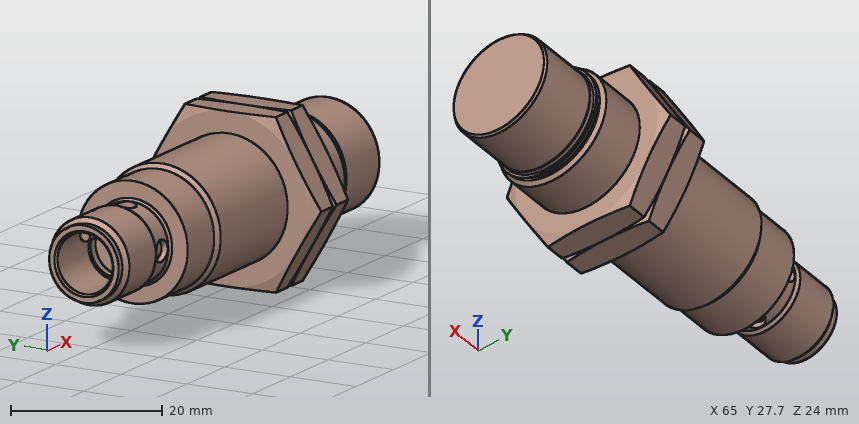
import cadquery as cq
import math

length = 65.0

tip_diameter = 10.6
connector_diameter = 12.0
neck_diameter = 11.3
shoulder_diameter = 16.8
body_diameter = 18.0
body_end_diameter = 16.8
ring_diameter = 16.9
relief_diameter = 16.0
cap_diameter = 15.8
cap_end_diameter = 15.3

tip_end = 1.0
connector_start = 1.6
connector_end = 8.65
neck_start = 9.2
neck_end = 12.55
shoulder_start = 12.95
shoulder_end = 19.95
body_start = 20.6
body_end = 53.5
groove_x = 54.1
ring_x = 54.9
cap_start = 55.65
cap_end = 64.6

bore_diameter = 8.4
bore_mouth_diameter = 9.0
bore_mouth_depth = 0.3
bore_step = 8.45
inner_bore_diameter = 7.7
bore_depth = 9.75
key_diameter = 1.5
key_setback = 0.3
key_inset = 0.45
key_offset = bore_diameter / 2 - key_inset

window_diameter = 3.05
window_floor_diameter = 9.4
window_count = 4
window_x = (neck_start + neck_end) / 2

nut_flats = 24.0
nut_corners = nut_flats / math.cos(math.radians(30))
nut_thickness = 4.0
nut_count = 2
nuts_start = 38.35
nut_chamfer_angle = 15.0


def x_cylinder(diameter, start, end):
    """Cylinder on the X axis between two stations."""
    return cq.Workplane("YZ", origin=(start, 0, 0)).circle(diameter / 2).extrude(end - start)


def revolve_profile(points):
    """Closed (x, radius) outline turned about the X axis."""
    return cq.Workplane("XY").polyline(points).close().revolve(360, (0, 0, 0), (1, 0, 0))


def make_housing_blank():
    stations = [
        (0, tip_diameter),
        (tip_end, tip_diameter),
        (connector_start, connector_diameter),
        (connector_end, connector_diameter),
        (neck_start, neck_diameter),
        (neck_end, neck_diameter),
        (shoulder_start, connector_diameter),
        (shoulder_start, shoulder_diameter),
        (shoulder_end, shoulder_diameter),
        (body_start, body_diameter),
        (body_end, body_diameter),
        (groove_x, body_end_diameter),
        (groove_x, relief_diameter),
        (ring_x, ring_diameter),
        (ring_x, relief_diameter),
        (cap_start, relief_diameter),
        (cap_start, cap_diameter),
        (cap_end, cap_diameter),
        (length, cap_end_diameter),
    ]
    outline = [(x, diameter / 2) for x, diameter in stations]
    return revolve_profile([(0, 0)] + outline + [(length, 0)])


def make_socket():
    """Stepped bore with a countersunk mouth and a round key left standing along its top."""
    bore = revolve_profile([
        (0, 0),
        (0, bore_mouth_diameter / 2),
        (bore_mouth_depth, bore_diameter / 2),
        (bore_step, bore_diameter / 2),
        (bore_step, inner_bore_diameter / 2),
        (bore_depth, inner_bore_diameter / 2),
        (bore_depth, 0),
    ])
    key = x_cylinder(key_diameter, key_setback, bore_depth).translate((0, 0, key_offset))
    return bore.cut(key)


def make_windows():
    """Radial holes whose floors follow a cylinder concentric with the neck."""
    floor = x_cylinder(window_floor_diameter, neck_start - window_diameter, shoulder_start)
    hole = (
        cq.Workplane("XY", origin=(window_x, 0, 0))
        .circle(window_diameter / 2)
        .extrude(connector_diameter / 2)
        .cut(floor)
    )
    return [
        hole.rotate((0, 0, 0), (1, 0, 0), i * 360 / window_count)
        for i in range(window_count)
    ]


def make_housing():
    housing = make_housing_blank().cut(make_socket())
    for window in make_windows():
        housing = housing.cut(window)
    return housing


def make_nut(start):
    """Hex nut with flats facing up and down and both faces chamfered at the corners."""
    corner_radius = nut_corners / 2
    face_radius = nut_flats / 2
    setback = (corner_radius - face_radius) * math.tan(math.radians(nut_chamfer_angle))
    end = start + nut_thickness
    hexagon = (
        cq.Workplane("YZ", origin=(start, 0, 0))
        .polygon(6, nut_corners)
        .extrude(nut_thickness)
    )
    chamfer_envelope = revolve_profile([
        (start, 0),
        (start, face_radius),
        (start + setback, corner_radius),
        (end - setback, corner_radius),
        (end, face_radius),
        (end, 0),
    ])
    return hexagon.intersect(chamfer_envelope).cut(x_cylinder(body_diameter, start, end))


housing = make_housing()
nuts = [make_nut(nuts_start + i * nut_thickness) for i in range(nut_count)]

result = cq.Compound.makeCompound([housing.val(), *[nut.val() for nut in nuts]])